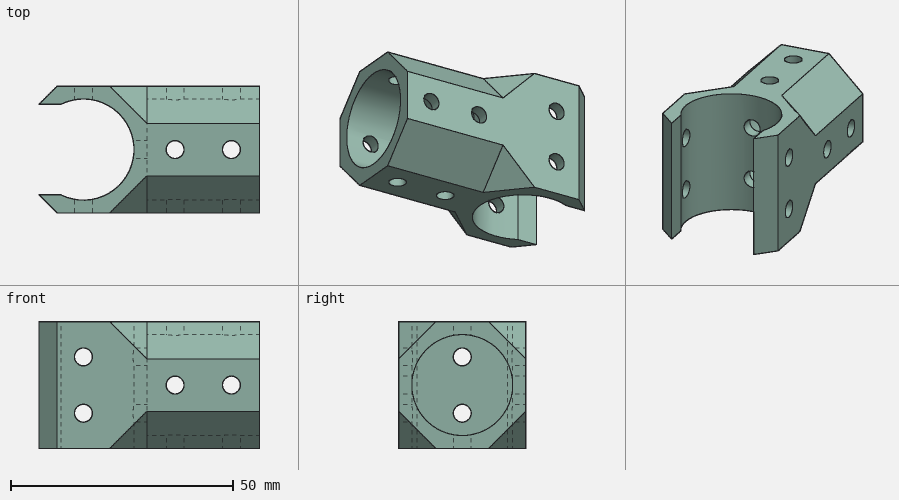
import cadquery as cq

length = 49.75
width = 28.6
wall = 2.95
bore_radius = width / 2 - wall

bore_x = -14.8
mouth_chamfer = 4.15
mouth_width = width - 2 * mouth_chamfer

socket_length = 25.4
socket_start_x = length / 2 - socket_length
octagon_flat = 11.85
octagon_cut = (width - octagon_flat) / 2

hole_diameter = 4.0
hole_spacing = 12.7
socket_hole_x = [socket_start_x + socket_length / 2 + side * hole_spacing / 2 for side in (-1, 1)]
clamp_hole_x = bore_x
clamp_hole_z = [-hole_spacing / 2, hole_spacing / 2]


def make_body():
    """Square block with the two vertical edges at the clamp mouth chamfered."""
    block = cq.Workplane("XY").box(length, width, width)
    return block.edges("|Z and <X").chamfer(mouth_chamfer)


def make_corner_cut(y_side, z_side):
    """Triangular prism along one long edge, its inner end sloping to a point on that edge."""
    half = width / 2
    flat = octagon_flat / 2
    end_x = length / 2
    profile = [(y_side * half, z_side * half), (y_side * flat, z_side * half), (y_side * half, z_side * flat)]
    prism = cq.Workplane("YZ", origin=(socket_start_x, 0, 0)).polyline(profile).close()
    prism = prism.extrude(end_x - socket_start_x)
    base = [cq.Vector(socket_start_x, y, z) for y, z in profile]
    tip = cq.Vector(socket_start_x - octagon_cut, y_side * half, z_side * half)
    triangles = [base, [base[0], base[1], tip], [base[1], base[2], tip], [base[2], base[0], tip]]
    faces = [
        cq.Face.makeFromWires(cq.Wire.makePolygon(points, close=True))
        for points in triangles
    ]
    point = cq.Solid.makeSolid(cq.Shell.makeShell(faces))
    return prism.union(cq.Workplane(obj=point))


def make_hole(axis, position):
    """Screw hole running right through the part along the given axis."""
    start = cq.Vector(*position) - axis * length
    return cq.Workplane(obj=cq.Solid.makeCylinder(hole_diameter / 2, 2 * length, start, axis))


x_axis = cq.Vector(1, 0, 0)
y_axis = cq.Vector(0, 1, 0)
z_axis = cq.Vector(0, 0, 1)

result = make_body()

for y_side in (-1, 1):
    for z_side in (-1, 1):
        result = result.cut(make_corner_cut(y_side, z_side))

bore = cq.Workplane("XY").center(bore_x, 0).circle(bore_radius).extrude(width, both=True)
mouth_length = bore_x + length / 2
mouth = cq.Workplane("XY").box(mouth_length, mouth_width, width).translate((bore_x - mouth_length / 2, 0, 0))
result = result.cut(bore).cut(mouth)

socket = cq.Workplane("YZ", origin=(socket_start_x, 0, 0)).circle(bore_radius).extrude(socket_length)
result = result.cut(socket)

for x in socket_hole_x:
    for axis in (y_axis, z_axis):
        result = result.cut(make_hole(axis, (x, 0, 0)))

for z in clamp_hole_z:
    result = result.cut(make_hole(y_axis, (clamp_hole_x, 0, z)))
    result = result.cut(make_hole(x_axis, (0, 0, z)))